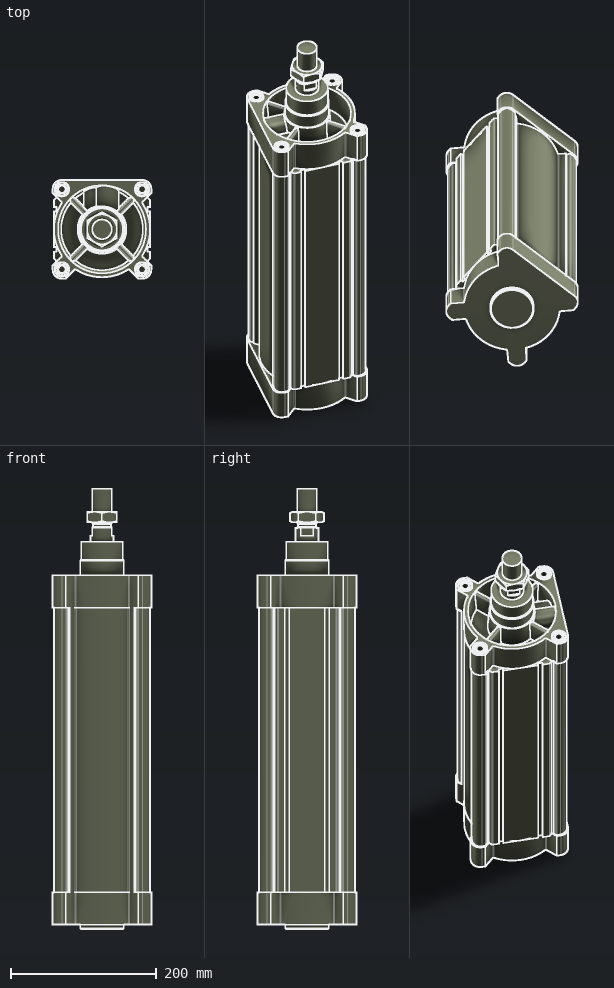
import cadquery as cq
import math


cap_height = 44.5
caps_and_barrel_length = 480.0
front_face = caps_and_barrel_length
barrel_bottom = cap_height
barrel_top = front_face - cap_height
rear_spigot_length = 6.0
shoulder = front_face + 65.0
rod_tip = shoulder + 54.0

cap_half = 68.0
screw_pitch_half = 55.0
cap_corner_radius = cap_half - screw_pitch_half
cap_body_radius = 66.0
notch_start = 50.0
notch_offset = cap_half - notch_start
notch_fillet = 1.5

barrel_half = 66.0
barrel_body_step = 0.3
barrel_body_radius = cap_body_radius - barrel_body_step
barrel_corner_radius = barrel_half - screw_pitch_half
step_floor = 62.2
step_inner = step_floor - notch_offset
step_outer = 46.4
step_mouth = 49.1
step_fillet = 1.4
pad_edge = 40.2
pad_fillet = 1.8
pad_chamfer = barrel_half - step_floor
groove_inner = 24.5
groove_outer = 30.5
groove_depth = 3.4

recess_depth = 34.0
recess_top_radius = 60.5
recess_floor_radius = 56.2
boss_top_radius = 31.3
boss_base_radius = 33.6
rib_drop = 3.0
rib_top_width = 5.0
rib_base_width = 9.0
rib_fillet = 0.9
rib_reach = 61.5

port_x = 7.5
port_radius = 15.5
port_crown_drop = 4.5
cushion_x = -16.0
cushion_radius = 9.0
cushion_crown_drop = 16.0

spigot_diameter = 60.0
nose_diameter = 57.5
spigot_chamfer = (spigot_diameter - nose_diameter) / 2
spigot_top = front_face + 21.3
nose_top = front_face + 46.0

counterbore_diameter = 19.9
head_diameter = 18.0
screw_recess_depth = 2.0
thread_mouth_diameter = 12.8
thread_diameter = 10.11
thread_depth = 20.0

rod_diameter = 32.0
rod_flat_width = 27.0
rod_flat_length = 10.5
thread_rod_diameter = 27.0
neck_diameter = 24.84
neck_length = 5.0
neck_root = 1.0
neck_root_height = 1.6
neck_chamfer = (thread_rod_diameter - neck_diameter) / 2

nut_width = 41.0
nut_height = 14.5
nut_bottom = shoulder + 7.5
nut_chamfer_angle = 30.0


def notch_root(body_radius):
    """Short and long coordinate of the point where a 45 degree notch wall meets the round body."""
    short = (math.sqrt(2 * body_radius**2 - notch_offset**2) - notch_offset) / 2
    return short, short + notch_offset


def fillet_upright_edges(body, radius, points):
    """Round the edges parallel to Z that stand at the given XY points."""
    for x, y in points:
        edge = cq.selectors.NearestToPointSelector((x, y, body.val().Center().z))
        body = body.edges("|Z").edges(edge).fillet(radius)
    return body


def make_cap():
    """Round body with four screw corners; the +Y side is closed by a flat port face."""
    inner, root = notch_root(cap_body_radius)
    mid = cap_corner_radius * math.sqrt(0.5)
    far = screw_pitch_half + mid
    cap = (
        cq.Workplane("XY")
        .moveTo(-inner, -root)
        .threePointArc((0, -cap_body_radius), (inner, -root))
        .lineTo(notch_start, -cap_half)
        .lineTo(screw_pitch_half, -cap_half)
        .threePointArc((far, -far), (cap_half, -screw_pitch_half))
        .lineTo(cap_half, -notch_start)
        .lineTo(root, -inner)
        .threePointArc((cap_body_radius, 0), (root, inner))
        .lineTo(cap_half, notch_start)
        .lineTo(cap_half, screw_pitch_half)
        .threePointArc((far, far), (screw_pitch_half, cap_half))
        .lineTo(-screw_pitch_half, cap_half)
        .threePointArc((-far, far), (-cap_half, screw_pitch_half))
        .lineTo(-cap_half, notch_start)
        .lineTo(-root, inner)
        .threePointArc((-cap_body_radius, 0), (-root, -inner))
        .lineTo(-cap_half, -notch_start)
        .lineTo(-cap_half, -screw_pitch_half)
        .threePointArc((-far, -far), (-screw_pitch_half, -cap_half))
        .lineTo(-notch_start, -cap_half)
        .close()
        .extrude(cap_height)
    )
    roots = [(-inner, -root), (inner, -root)]
    roots += [(x, y) for x in (-root, root) for y in (-inner, inner)]
    return fillet_upright_edges(cap, notch_fillet, roots)


def barrel_quarter():
    """The +X +Y quarter of the barrel."""
    inner, root = notch_root(barrel_body_radius)
    half = barrel_half
    far = screw_pitch_half + barrel_corner_radius * math.sqrt(0.5)
    outline = (
        cq.Workplane("XY")
        .lineTo(half, 0)
        .lineTo(half, groove_inner)
        .lineTo(half - groove_depth, groove_inner)
        .lineTo(half - groove_depth, groove_outer)
        .lineTo(half, groove_outer)
        .lineTo(half, pad_edge)
        .lineTo(step_floor, pad_edge + pad_chamfer)
        .lineTo(step_floor, step_outer)
        .lineTo(half, step_mouth)
        .lineTo(half, screw_pitch_half)
        .threePointArc((far, far), (screw_pitch_half, half))
        .lineTo(step_mouth, half)
        .lineTo(step_outer, step_floor)
        .lineTo(step_inner, step_floor)
        .lineTo(inner, root)
    )
    half_angle = math.atan2(inner, root) / 2
    arc_middle = (barrel_body_radius * math.sin(half_angle), barrel_body_radius * math.cos(half_angle))
    outline = outline.threePointArc(arc_middle, (0, barrel_body_radius)).close()
    quarter = outline.extrude(barrel_top - barrel_bottom).translate((0, 0, barrel_bottom))
    quarter = fillet_upright_edges(quarter, step_fillet, [(half, step_mouth), (step_mouth, half)])
    quarter = fillet_upright_edges(quarter, pad_fillet, [(half, pad_edge)])
    return fillet_upright_edges(quarter, notch_fillet, [(inner, root)])


def make_barrel():
    quarter = barrel_quarter()
    side = quarter.union(quarter.mirror("YZ"))
    return side.union(side.mirror("XZ"))


def cone(bottom_radius, top_radius, bottom, top):
    solid = cq.Solid.makeCone(bottom_radius, top_radius, top - bottom, pnt=cq.Vector(0, 0, bottom))
    return cq.Workplane(obj=solid)


def disc(diameter, bottom, top):
    return cq.Workplane("XY").workplane(offset=bottom).circle(diameter / 2).extrude(top - bottom)


def recess_ribs(floor):
    """Four tapered ribs on the diagonals."""
    top = front_face - rib_drop
    profile = (
        cq.Workplane("YZ")
        .moveTo(-rib_base_width / 2, floor)
        .lineTo(rib_base_width / 2, floor)
        .lineTo(rib_top_width / 2, top)
        .lineTo(-rib_top_width / 2, top)
        .close()
        .extrude(rib_reach)
        .faces(">Z")
        .edges("|X")
        .fillet(rib_fillet)
    )
    ribs = cq.Workplane("XY")
    for angle in (45, 135, 225, 315):
        ribs = ribs.add(profile.rotate((0, 0, 0), (0, 0, 1), angle))
    return ribs


def hump(x, radius, crown_drop, floor):
    """A round-topped passage running from the centre boss to the +Y wall."""
    axis_z = front_face - crown_drop - radius
    tube = cq.Workplane("XZ").center(x, axis_z).circle(radius).extrude(-recess_top_radius)
    web = (
        cq.Workplane("XY")
        .workplane(offset=floor)
        .center(x, recess_top_radius / 2)
        .rect(2 * radius, recess_top_radius)
        .extrude(axis_z - floor)
    )
    return tube.union(web)


def make_recess():
    """The ring-shaped hollow of the front cap, less its boss, ribs and port humps."""
    floor = front_face - recess_depth
    hollow = cone(recess_floor_radius, recess_top_radius, floor, front_face)
    hollow = hollow.cut(cone(boss_base_radius, boss_top_radius, floor, front_face))
    for rib in recess_ribs(floor).vals():
        hollow = hollow.cut(cq.Workplane(obj=rib))
    hollow = hollow.cut(hump(port_x, port_radius, port_crown_drop, floor))
    return hollow.cut(hump(cushion_x, cushion_radius, cushion_crown_drop, floor))


def make_screw_recess():
    """Ring gap around a screw head and its threaded hole with a conical mouth."""
    ring = disc(counterbore_diameter, front_face - screw_recess_depth, front_face)
    ring = ring.cut(disc(head_diameter, front_face - screw_recess_depth, front_face))
    hole = disc(thread_diameter, front_face - thread_depth, front_face)
    mouth_depth = (thread_mouth_diameter - thread_diameter) / 2
    mouth = cone(thread_diameter / 2, thread_mouth_diameter / 2, front_face - mouth_depth, front_face)
    return ring, hole.union(mouth)


def make_housing():
    cap = make_cap()
    body = make_barrel().union(cap).union(cap.translate((0, 0, barrel_top)))
    body = body.cut(make_recess())
    for x in (-screw_pitch_half, screw_pitch_half):
        for y in (-screw_pitch_half, screw_pitch_half):
            for cutter in make_screw_recess():
                body = body.cut(cutter.translate((x, y, 0)))
    rear_spigot = disc(spigot_diameter, -rear_spigot_length, 0).faces("<Z").chamfer(spigot_chamfer)
    front_spigot = disc(spigot_diameter, front_face, spigot_top - spigot_chamfer)
    shoulder_cone = cone(
        spigot_diameter / 2, nose_diameter / 2, spigot_top - spigot_chamfer, spigot_top
    )
    nose = disc(nose_diameter, spigot_top, nose_top)
    body = body.union(rear_spigot).union(front_spigot).union(shoulder_cone).union(nose)
    return body.cut(disc(rod_diameter, barrel_top, nose_top))


def make_rod():
    shaft = disc(rod_diameter, barrel_top, shoulder)
    flat_bottom = shoulder - rod_flat_length
    flats = (
        cq.Workplane("XY")
        .workplane(offset=flat_bottom)
        .rect(rod_flat_width, 2 * rod_diameter)
        .extrude(rod_flat_length)
    )
    flat_zone = disc(2 * rod_diameter, flat_bottom, shoulder).cut(flats)
    thread = disc(thread_rod_diameter, shoulder + neck_length, rod_tip)
    thread = thread.faces("<Z").chamfer(neck_chamfer)
    neck = disc(neck_diameter, shoulder, shoulder + neck_length)
    neck_radius = neck_diameter / 2
    root = cone(neck_radius + neck_root, neck_radius, shoulder, shoulder + neck_root_height)
    return shaft.cut(flat_zone).union(root).union(neck).union(thread)


def make_nut():
    """Hexagon nut with corners on the Y axis, corners turned off at both ends."""
    corner_radius = nut_width / math.sqrt(3)
    face_radius = nut_width / 2
    drop = (corner_radius - face_radius) * math.tan(math.radians(nut_chamfer_angle))
    hexagon = (
        cq.Workplane("XY")
        .polygon(6, 2 * corner_radius)
        .extrude(nut_height)
        .rotate((0, 0, 0), (0, 0, 1), 30)
    )
    envelope = (
        cq.Workplane("XZ")
        .lineTo(face_radius, 0)
        .lineTo(corner_radius, drop)
        .lineTo(corner_radius, nut_height - drop)
        .lineTo(face_radius, nut_height)
        .lineTo(0, nut_height)
        .close()
        .revolve(360, (0, 0, 0), (0, 1, 0))
    )
    nut = hexagon.intersect(envelope).translate((0, 0, nut_bottom))
    return nut.cut(disc(thread_rod_diameter, nut_bottom, nut_bottom + nut_height))


housing = make_housing()
rod = make_rod()
nut = make_nut()

result = cq.Compound.makeCompound([housing.val(), rod.val(), nut.val()])